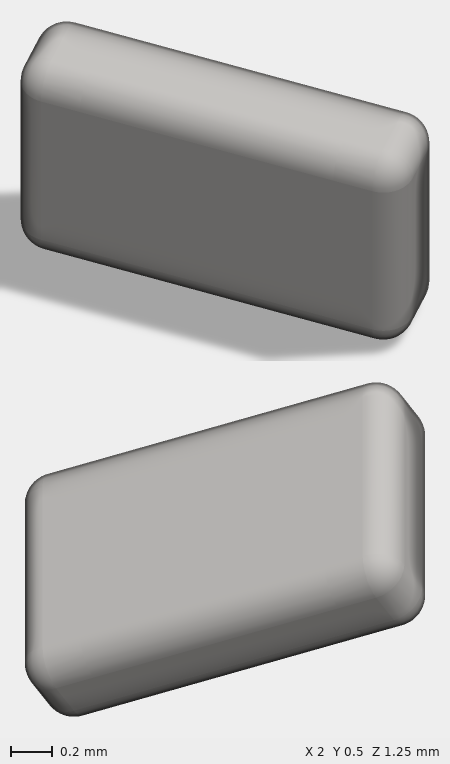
import cadquery as cq

length = 2.0
thickness = 0.5
height = 1.25
edge_radius = 0.15
terminal_length = 0.35

body_length = length - 2 * terminal_length


def rounded_block():
    """Full outer shape with all edges and corners rounded."""
    return cq.Workplane("XY").box(length, thickness, height).edges().fillet(edge_radius)


def section(center_x, section_length):
    """Slice of the rounded block, centred at center_x along X."""
    slab = cq.Workplane("XY").box(section_length, thickness, height).translate((center_x, 0, 0))
    return rounded_block().intersect(slab)


result = section(0, body_length)
for side in (-1, 1):
    terminal_center_x = side * (length - terminal_length) / 2
    result = result.union(section(terminal_center_x, terminal_length), clean=False)